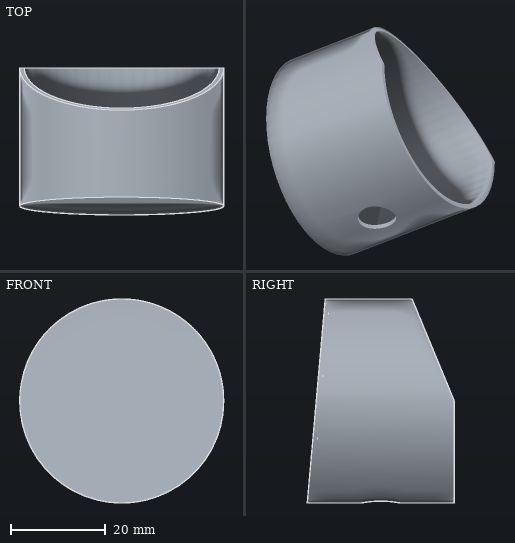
import cadquery as cq

outer_diameter = 43.0
outer_radius = outer_diameter / 2
length = 31.0
wall = 1.0
front_setback = 3.8
mouth_setback = 8.9
drain_diameter = 8.0
overcut = 4.3

front_y = -length / 2
back_y = length / 2


def cylinder_along_y(radius):
    return cq.Workplane("XZ", origin=(0, back_y, 0)).circle(radius).extrude(length)


def side_prism(points):
    """Extrude a (Y, Z) outline across the full width of the cup."""
    return cq.Workplane("YZ").polyline(points).close().extrude(outer_radius + overcut, both=True)


def end_profile(front_offset):
    """Side outline between the leaning front, shifted along Y, and the cut-back mouth."""
    return [
        (front_y + front_offset, -outer_radius),
        (back_y, -outer_radius),
        (back_y, 0),
        (back_y - mouth_setback, outer_radius),
        (front_y + front_setback + front_offset, outer_radius),
    ]


shell = cylinder_along_y(outer_radius).intersect(side_prism(end_profile(0)))

cavity = cylinder_along_y(outer_radius - wall).intersect(side_prism(end_profile(wall)))

drain = cq.Workplane("XY", origin=(0, 0, -outer_radius - overcut)).circle(drain_diameter / 2).extrude(2 * overcut)

result = shell.cut(cavity).cut(drain)